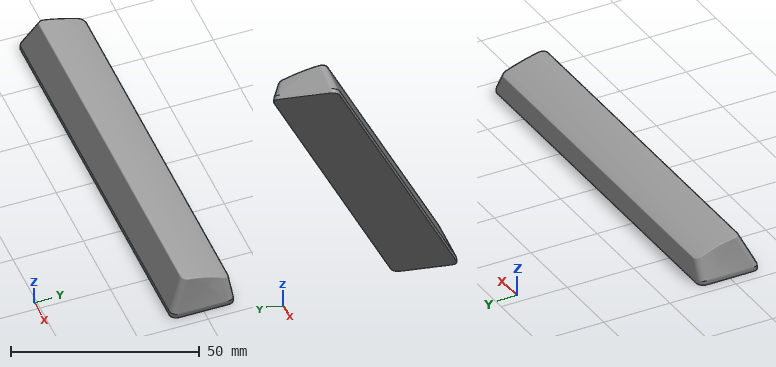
import cadquery as cq
import math

length = 113.4
width = 18.1
corner_radius = 2.0
rim_height = 0.8
shoulder_height = 0.5
shoulder_inset = 0.06

front_height = 10.2
rear_height = 6.4
front_setback = 4.3
rear_setback = 0.5
end_setback = 3.0
top_corner_radius = 1.8
top_bulge = 0.6
top_edge_radius = 0.3

wall_overshoot = 1.2

wall_base_z = rim_height + shoulder_height
wall_base_length = length - 2 * shoulder_inset
wall_base_width = width - 2 * shoulder_inset
front_y = -width / 2 + front_setback
rear_y = width / 2 - rear_setback

chord_run = rear_y - front_y
chord_drop = front_height - rear_height
chord = math.hypot(chord_run, chord_drop)
crown_y = (front_y + rear_y) / 2 + top_bulge * chord_drop / chord
crown_z = (front_height + rear_height) / 2 + top_bulge * chord_run / chord


def rounded_rectangle(size_x, size_y, radius, center_y, center_z, tilt=0):
    """Rectangle with rounded corners, tilted in degrees about the X axis."""
    sketch = cq.Sketch().rect(size_x, size_y).vertices().fillet(radius)
    return sketch.moved(cq.Location(cq.Vector(0, center_y, center_z), cq.Vector(1, 0, 0), tilt))


def along_wall(base, top):
    """Coordinate a wall reaches when prolonged from its base past the top face."""
    return base + wall_overshoot * (top - base)


def make_rim_and_shoulder():
    """Straight band around the foot, closed by the narrow sloping shoulder."""
    foot = rounded_rectangle(length, width, corner_radius, 0, 0)
    rim_top = rounded_rectangle(length, width, corner_radius, 0, rim_height)
    rim = cq.Workplane("XY").placeSketch(foot).extrude(rim_height)
    shoulder = cq.Workplane("XY").placeSketch(rim_top, wall_base).loft(ruled=True)
    return rim.union(shoulder)


def make_walls():
    """Tapered body between the level wall base and a tilted upper outline."""
    upper_front_y = along_wall(-wall_base_width / 2, front_y)
    upper_rear_y = along_wall(wall_base_width / 2, rear_y)
    upper_front_z = along_wall(wall_base_z, front_height)
    upper_rear_z = along_wall(wall_base_z, rear_height)
    run = upper_rear_y - upper_front_y
    rise = upper_rear_z - upper_front_z
    upper = rounded_rectangle(
        2 * along_wall(wall_base_length / 2, length / 2 - end_setback),
        math.hypot(run, rise),
        top_corner_radius,
        (upper_front_y + upper_rear_y) / 2,
        (upper_front_z + upper_rear_z) / 2,
        math.degrees(math.atan2(rise, run)),
    )
    return cq.Workplane("XY").placeSketch(wall_base, upper).loft(ruled=True)


def make_envelope():
    """Prism along X whose roof is the gently bulged top face."""
    return (
        cq.Workplane("YZ")
        .moveTo(-width, 0)
        .lineTo(-width, front_height)
        .lineTo(front_y, front_height)
        .threePointArc((crown_y, crown_z), (rear_y, rear_height))
        .lineTo(width, rear_height)
        .lineTo(width, 0)
        .close()
        .extrude(length / 2, both=True)
    )


wall_base = rounded_rectangle(
    wall_base_length, wall_base_width, corner_radius - shoulder_inset, 0, wall_base_z
)
cap = make_rim_and_shoulder().union(make_walls()).intersect(make_envelope())

top_face = cap.faces(cq.NearestToPointSelector((0, crown_y, crown_z)))
result = top_face.edges().fillet(top_edge_radius)